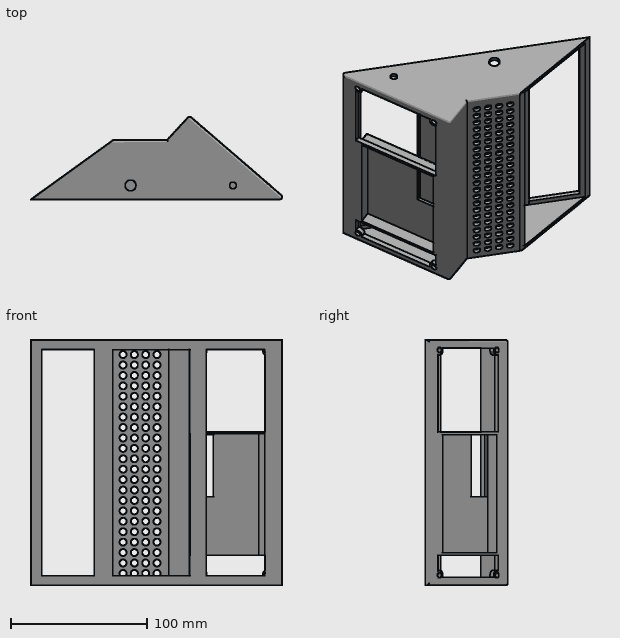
import cadquery as cq
import math

LENGTH = 184.3
HEIGHT = 180.0
PEAK_Y = 60.6
EDGE_RADIUS = 1.8
WALL = 3.0
SLOPE_WALL = 3.7
SLOPE_ANGLE = math.radians(40.8)
VENT_Y = 43.7
VENT_X_START = 60.5
VENT_X_END = 99.9
TOLERANCE = 0.02

FRAME_BORDER = 7.2
FRONT_LEFT = 8.1
FRONT_RIGHT = 171.6
THIN_BAR_X = 46.5
THIN_BAR_WIDTH = 13.8
THIN_BAR_DEPTH = 6.0
RAIL_X = 116.7
RAIL_WIDTH = 12.0
RAIL_LIP_DEPTH = 5.0
RAIL_SHOULDER_Y = 9.2
RAIL_DEPTH = 11.6
RAIL_UNDERCUT = 2.4

VENT_DIAMETER = 5.0
VENT_COLUMNS = 4
VENT_ROWS = 22
VENT_X_FIRST = 67.6
VENT_Z_FIRST = 8.8
VENT_X_PITCH = 8.3
VENT_Z_LAST = 169.2

CABLE_HOLE_X = 73.2
CABLE_HOLE_DIAMETER = 8.0
SMALL_HOLE_X = 148.2
SMALL_HOLE_DIAMETER = 5.0
TOP_HOLE_Y = 10.3

OPENING_START = 11.8
OPENING_END = 79.3
OPENING_BORDER = 6.0
BOSS_DIAMETER = 7.4
SCREW_HOLE_DIAMETER = 4.0
SCREW_INSET = 1.5

PANEL_BOTTOM = 22.1
PANEL_TOP = 112.6
TRAY_TOP = 111.3
TRAY_START = 9.8
TRAY_END = 76.3
TRAY_DEPTH = 10.7
TRAY_FLOOR = 2.2
TRAY_SIDE = 2.0
TRAY_TOP_WALL = 1.0
WINDOW_START = 14.5
WINDOW_END = 32.3
WINDOW_BOTTOM = 65.0

normal_x = math.sin(SLOPE_ANGLE)
normal_y = math.cos(SLOPE_ANGLE)
corner_x = LENGTH - EDGE_RADIUS + EDGE_RADIUS / math.tan(SLOPE_ANGLE / 2)
peak_y = PEAK_Y + EDGE_RADIUS * (normal_x + normal_y - 1)
peak_x = corner_x - peak_y / math.tan(SLOPE_ANGLE)
outline = [(0, 0), (corner_x, 0), (peak_x, peak_y), (VENT_X_END, VENT_Y), (VENT_X_START, VENT_Y)]

slope_plane = cq.Plane(
    origin=(peak_x, peak_y, 0), xDir=(normal_y, -normal_x, 0), normal=(-normal_x, -normal_y, 0)
)


def box(x0, x1, y0, y1, z0, z1):
    return cq.Workplane("XY").box(x1 - x0, y1 - y0, z1 - z0, centered=False).translate((x0, y0, z0))


def slope_box(s0, s1, z0, z1, depth0, depth1):
    """Block in the slope frame; depth is measured inwards from the outer slope face."""
    block = cq.Workplane(slope_plane).workplane(offset=depth0)
    return block.center((s0 + s1) / 2, (z0 + z1) / 2).rect(s1 - s0, z1 - z0).extrude(depth1 - depth0)


def slope_cylinders(points, diameter, depth):
    return cq.Workplane(slope_plane).pushPoints(points).circle(diameter / 2).extrude(depth)


def outer_body():
    body = cq.Workplane("XY").polyline(outline).close().extrude(HEIGHT)

    def is_rounded(edge):
        """Roof edges except the vent's own left end, its inner bend and the left slope."""
        center = edge.Center()
        along_z = abs(center.z - HEIGHT / 2) < TOLERANCE
        if along_z:
            return center.x > VENT_X_END + TOLERANCE
        return center.y > TOLERANCE and center.x > VENT_X_START

    edges = [edge for edge in body.edges().vals() if is_rounded(edge)]
    return body.newObject(edges).fillet(EDGE_RADIUS)


def offset_corner(before, corner, after, offset_before, offset_after):
    """Move the two sides meeting at a corner inwards (counter-clockwise outline) and intersect them."""
    length_in = math.dist(before, corner)
    length_out = math.dist(corner, after)
    in_x = (corner[0] - before[0]) / length_in
    in_y = (corner[1] - before[1]) / length_in
    out_x = (after[0] - corner[0]) / length_out
    out_y = (after[1] - corner[1]) / length_out
    turn = in_x * out_y - in_y * out_x
    shift_x = (out_x * offset_before - in_x * offset_after) / turn
    shift_y = (out_y * offset_before - in_y * offset_after) / turn
    return corner[0] + shift_x, corner[1] + shift_y


def cavity():
    """Hollow that runs out through the whole left slope, so the left side has no wall."""
    walls = [WALL, SLOPE_WALL, WALL, WALL, 0]
    count = len(outline)
    corners = [
        offset_corner(outline[i - 1], outline[i], outline[(i + 1) % count], walls[i - 1], walls[i])
        for i in range(count)
    ]
    return cq.Workplane("XY").workplane(offset=WALL).polyline(corners).close().extrude(HEIGHT - 2 * WALL)


def front_opening():
    return box(FRONT_LEFT, FRONT_RIGHT, 0, WALL, FRAME_BORDER, HEIGHT - FRAME_BORDER)


def thin_bar():
    x_end = THIN_BAR_X + THIN_BAR_WIDTH
    return box(THIN_BAR_X, x_end, 0, THIN_BAR_DEPTH, FRAME_BORDER, HEIGHT - FRAME_BORDER)


def undercut_rail():
    """Bar with a lip in front and a necked rib behind it."""
    left_side = [
        (0, 0),
        (0, RAIL_LIP_DEPTH),
        (RAIL_UNDERCUT, RAIL_LIP_DEPTH),
        (0, RAIL_SHOULDER_Y),
        (0, RAIL_DEPTH),
    ]
    right_side = [(RAIL_WIDTH - x, y) for x, y in reversed(left_side)]
    profile = cq.Workplane("XY").polyline(left_side + right_side).close()
    return profile.extrude(HEIGHT - 2 * FRAME_BORDER).translate((RAIL_X, 0, FRAME_BORDER))


def vent_holes():
    z_pitch = (VENT_Z_LAST - VENT_Z_FIRST) / (VENT_ROWS - 1)
    points = [
        (VENT_X_FIRST + column * VENT_X_PITCH, VENT_Z_FIRST + row * z_pitch)
        for column in range(VENT_COLUMNS)
        for row in range(VENT_ROWS)
    ]
    drill = cq.Workplane("XZ", origin=(0, VENT_Y, 0)).pushPoints(points)
    return drill.circle(VENT_DIAMETER / 2).extrude(WALL)


def top_hole(x, diameter):
    drill = cq.Workplane("XY", origin=(x, TOP_HOLE_Y, HEIGHT - WALL))
    return drill.circle(diameter / 2).extrude(WALL)


def slope_opening():
    return slope_box(OPENING_START, OPENING_END, OPENING_BORDER, HEIGHT - OPENING_BORDER, 0, SLOPE_WALL)


def screw_points():
    return [
        (s, z)
        for s in (OPENING_START + SCREW_INSET, OPENING_END - SCREW_INSET)
        for z in (OPENING_BORDER + SCREW_INSET, HEIGHT - OPENING_BORDER - SCREW_INSET)
    ]


def tray():
    panel = slope_box(OPENING_START, OPENING_END, PANEL_BOTTOM, PANEL_TOP, 0, SLOPE_WALL)
    return panel.union(slope_box(TRAY_START, TRAY_END, PANEL_BOTTOM, TRAY_TOP, SLOPE_WALL, TRAY_DEPTH))


def tray_recess():
    pocket_start = OPENING_START + TRAY_SIDE
    pocket_end = TRAY_END - TRAY_SIDE
    pocket_top = TRAY_TOP - TRAY_TOP_WALL
    pocket_bottom = PANEL_BOTTOM + TRAY_SIDE
    pocket = slope_box(pocket_start, pocket_end, pocket_bottom, pocket_top, 0, TRAY_DEPTH - TRAY_FLOOR)
    window = slope_box(WINDOW_START, WINDOW_END, WINDOW_BOTTOM, pocket_top, 0, TRAY_DEPTH)
    return pocket.union(window)


body = outer_body().cut(cavity()).cut(front_opening()).cut(slope_opening())
body = body.union(thin_bar()).union(undercut_rail())
body = body.union(slope_cylinders(screw_points(), BOSS_DIAMETER, SLOPE_WALL))
body = body.cut(slope_cylinders(screw_points(), SCREW_HOLE_DIAMETER, SLOPE_WALL))
body = body.union(tray()).cut(tray_recess())
body = body.cut(vent_holes())
body = body.cut(top_hole(CABLE_HOLE_X, CABLE_HOLE_DIAMETER))
result = body.cut(top_hole(SMALL_HOLE_X, SMALL_HOLE_DIAMETER))